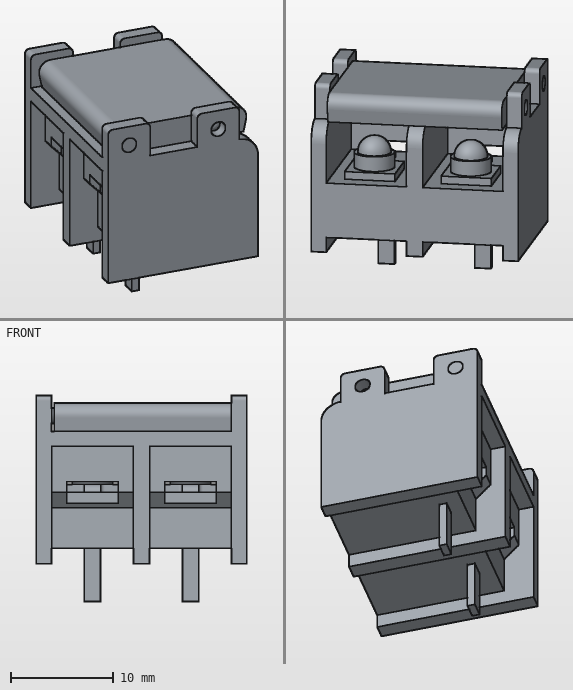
import cadquery as cq
import math


housing_width = 20.6
housing_depth = 16.0
housing_height = 16.49
side_wall = 1.5
bay_width = 8.0
pole_count = 2
centre_wall = housing_width - 2 * side_wall - pole_count * bay_width
pole_pitch = bay_width + centre_wall
pole_positions = [(i - (pole_count - 1) / 2) * pole_pitch for i in range(pole_count)]
inner_width = housing_width - 2 * side_wall

body_top = 12.96
tab_length = 4.5
rear_round = 2.0
rear_tab_end = housing_depth - rear_round
tab_round = 0.5

lintel_bottom = 11.5
entry_recess = 1.5
entry_wall = 1.1
chamber_front = entry_recess + entry_wall
floor_top = 7.0
floor_bottom = 1.5
undercut = 1.5
window_width = 5.0
window_top = 8.02
window_bottom = floor_top - entry_wall

pivot_diameter = 1.53
pivot_height = 14.49
hinge_y = tab_length / 2
snap_y = rear_tab_end - tab_length / 2

cover_top = 15.75
cover_front = 0.76
cover_rear = 15.4
cover_round = 1.2
cover_taper = math.radians(12)
cover_gap = 0.25
cover_left = -inner_width / 2 + cover_gap
cover_right = inner_width / 2

screw_y = 11.65
head_diameter = 4.0
head_height = 1.48
dome_diameter = 3.3

terminal_thickness = 0.76
leg_width = 1.6
leg_front = 4.55
leg_back = leg_front + terminal_thickness
leg_length = 3.7
leg_bottom = -leg_length
tongue_corner = 0.4
plate_size = window_width
plate_front = screw_y - plate_size / 2
plate_back = screw_y + plate_size / 2
plate_top = floor_top + terminal_thickness


def box(x_range, y_range, z_range):
    """Block given by its limits along each axis."""
    size = [high - low for low, high in (x_range, y_range, z_range)]
    corner = (x_range[0], y_range[0], z_range[0])
    return cq.Workplane("XY").box(*size, centered=False).translate(corner)


def across(centre, width):
    """Limits of a stretch of the given width about a centre."""
    return (centre - width / 2, centre + width / 2)


def along_x(profile, x_range):
    """Extrude a YZ profile over a stretch of X."""
    return profile.extrude(x_range[1] - x_range[0]).translate((x_range[0], 0, 0))


def wall(x_range):
    """Upright wall whose top rear corner is rounded."""
    profile = (
        cq.Workplane("YZ")
        .lineTo(housing_depth, 0)
        .lineTo(housing_depth, body_top - rear_round)
        .radiusArc((rear_tab_end, body_top), -rear_round)
        .lineTo(0, body_top)
        .close()
    )
    return along_x(profile, x_range)


def tab(x_range, y_start):
    """Ear with two rounded top corners that rises from a side wall."""
    ear = box(x_range, (y_start, y_start + tab_length), (body_top, housing_height))
    return ear.edges("|X and >Z").fillet(tab_round)


def pivot_rod(x_range, y):
    """Cylinder along X on a pivot axis."""
    profile = cq.Workplane("YZ").center(y, pivot_height).circle(pivot_diameter / 2)
    return along_x(profile, x_range)


def entry_and_floor():
    """Floor, entry wall and lintel of all bays, with a sloping undercut below the entry wall."""
    profile = cq.Workplane("YZ").polyline([
        (0, body_top),
        (0, lintel_bottom),
        (entry_recess, lintel_bottom),
        (entry_recess, floor_top),
        (entry_recess + undercut, floor_top - undercut),
        (entry_recess + undercut, floor_bottom),
        (housing_depth, floor_bottom),
        (housing_depth, floor_top),
        (chamber_front, floor_top),
        (chamber_front, body_top),
    ]).close()
    return along_x(profile, across(0, inner_width))


def make_housing():
    """Walls, ears, floor and entry, with the pivot holes, wire windows and leg slots cut out."""
    left_side = (-housing_width / 2, -inner_width / 2)
    right_side = (inner_width / 2, housing_width / 2)
    housing = entry_and_floor().union(wall(across(0, centre_wall)))
    for side in (left_side, right_side):
        housing = housing.union(wall(side))
        for y_start in (0, rear_tab_end - tab_length):
            housing = housing.union(tab(side, y_start))
    for y in (hinge_y, snap_y):
        housing = housing.cut(pivot_rod(across(0, housing_width), y))
    for x in pole_positions:
        window = box(across(x, window_width), (0, chamber_front), (window_bottom, window_top))
        leg_slot = box(across(x, leg_width), (leg_front, leg_back), (floor_bottom, floor_top))
        housing = housing.cut(window).cut(leg_slot)
    return housing


def cover_lid():
    """Solid lid with rounded top edges and ends that taper inward below them."""
    round_height = cover_top - cover_round
    front_centre = cover_front + cover_round
    rear_centre = cover_rear - cover_round
    mid_angle = math.pi / 4 - cover_taper / 2
    tangent_reach = cover_round * math.cos(cover_taper)
    tangent_height = round_height - cover_round * math.sin(cover_taper)
    mid_reach = cover_round * math.cos(mid_angle)
    mid_height = round_height + cover_round * math.sin(mid_angle)
    foot_reach = tangent_reach - (tangent_height - body_top) * math.tan(cover_taper)
    profile = (
        cq.Workplane("YZ")
        .moveTo(front_centre - foot_reach, body_top)
        .lineTo(front_centre - tangent_reach, tangent_height)
        .threePointArc((front_centre - mid_reach, mid_height), (front_centre, cover_top))
        .lineTo(rear_centre, cover_top)
        .threePointArc((rear_centre + mid_reach, mid_height), (rear_centre + tangent_reach, tangent_height))
        .lineTo(rear_centre + foot_reach, body_top)
        .close()
    )
    return along_x(profile, (cover_left, cover_right))


def make_cover():
    """Lid with a flush hinge pin and a snap dome at each end."""
    cover = cover_lid().union(pivot_rod(across(0, housing_width), hinge_y))
    for x in (cover_left, cover_right):
        dome = cq.Workplane("YZ").sphere(pivot_diameter / 2).translate((x, snap_y, pivot_height))
        cover = cover.union(dome)
    return cover


def make_terminal(x):
    """Clamping plate with a narrow tongue that bends down into the solder leg."""
    leg_profile = (
        cq.Workplane("YZ")
        .moveTo(leg_front, leg_bottom)
        .lineTo(leg_front, floor_top)
        .radiusArc((leg_back, plate_top), terminal_thickness)
        .lineTo(plate_front, plate_top)
        .lineTo(plate_front, floor_top)
        .lineTo(leg_back, floor_top)
        .lineTo(leg_back, leg_bottom)
        .close()
    )
    leg = along_x(leg_profile, across(x, leg_width))
    plate = box(across(x, plate_size), (plate_front, plate_back), (floor_top, plate_top))
    inner_corners = cq.selectors.BoxSelector(
        (x - leg_width, plate_front - tongue_corner / 2, floor_top),
        (x + leg_width, plate_front + tongue_corner / 2, plate_top),
    )
    return plate.union(leg).edges("|Z").edges(inner_corners).fillet(tongue_corner)


def make_screw(x):
    """Screw head with a smaller dome on top, resting on the clamping plate."""
    head = cq.Workplane("XY").circle(head_diameter / 2).extrude(head_height)
    upper_half = cq.Workplane("XY").sphere(dome_diameter / 2, angle1=0)
    dome = upper_half.translate((0, 0, head_height))
    return head.union(dome).translate((x, screw_y, plate_top))


housing = make_housing()
cover = make_cover()
terminals = [make_terminal(x) for x in pole_positions]
screws = [make_screw(x) for x in pole_positions]

result = cq.Compound.makeCompound([
    housing.val(),
    cover.val(),
    *[terminal.val() for terminal in terminals],
    *[screw.val() for screw in screws],
])